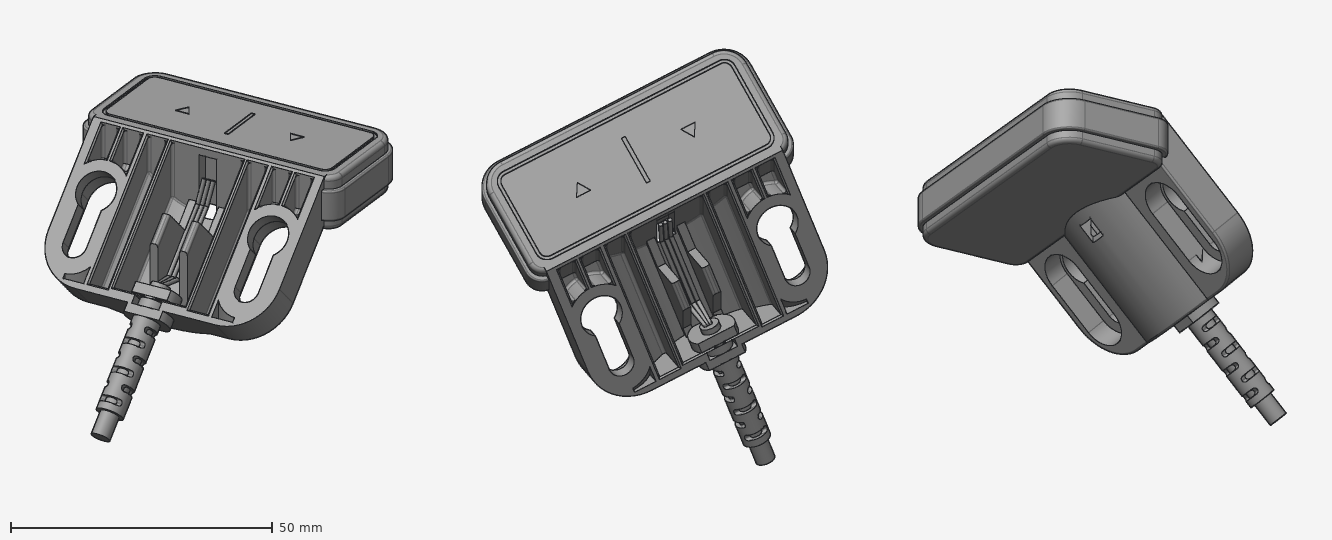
import cadquery as cq
import math


head_front = -0.2
head_half_width = 27.9
head_depth = 23.9
head_height = 11.4
head_front_radius = 3.1
head_back_radius = 4.95
head_edge_radius = 0.95

band_overhang = 0.9
band_top = -2.6
band_bottom = -9.0
band_edge_radius = 0.35

panel_half_width = 25.6
panel_front = 1.8
panel_back = 21.55
panel_corner_radius = 2.3
groove_width = 0.7
groove_depth = 0.35
mark_depth = 0.15
bar_width = 0.8
bar_length = 10.15
mark_center_y = 11.6
arrow_offset = 12.0
arrow_width = 3.1
arrow_height = 2.55

plate_half_width = 25.6
plate_length = 33.9
plate_thickness = 7.6
plate_corner_radius = 10.0
plate_embed = 8.0
bulge_depth = 10.75
bulge_radius = 22.7
back_fillet = 0.4
bulge_skin = 0.9
flat_skin = 2.3
head_wall = 0.5
pocket_fillet = 0.55
pocket_mouth_chamfer = 0.35

center_half_width = 8.3
center_end = 32.1
side_inner = 8.75
side_outer = 13.5
side_end = 32.6
small_inner = 14.2
small_outer = 23.7
small_rib = 0.55
upper_arc_radius = 6.6
lower_arc_radius = 5.95
lower_corner = 18.8

keyhole_x = 19.1
keyhole_top = 14.3
keyhole_bottom = 25.6
entry_radius = 4.2
slot_radius = 2.57
screw_head_radius = 4.9
keyhole_lip = 2.95

window_half_width = 1.95
window_top = -2.1
window_front = -0.95
window_back = 1.95
window_height = 16.0

guide_inner = 2.4
guide_outer = 4.15
guide_start = 15.1
guide_end = 21.4
guide_fillet = 0.55
guide_base_depth = 8.2

axis_depth = 2.8
cable_radius = 1.95
cable_start = 28.3
cable_end = 60.5
sleeve_radius = 2.8
sleeve_start = 30.05
sleeve_end = 55.55
flange_radius = 4.8
flange_bottom = 6.9
inner_flange = (29.5, 31.65)
outer_flange = (plate_length, 35.85)
notch_half_width = 3.0
slit_width = 1.3
slit_core = 1.5
slit_round = 0.55
slit_pitch = 6.11
slit_count = 3
side_slit_start = 38.1
top_slit_start = side_slit_start + slit_pitch / 2

wire_radius = 0.435
wire_xs = (-1.55, -0.55, 0.5)
wire_depth = 7.3
wire_bend_y = -1.7
wire_floor_end = 25.1
wire_tip_y = -0.15
wire_tip_z = -7.0
wire_tip_shift = 0.6
wire_gather = 0.5

FAR = 133.5

LOWER_END = cq.selectors.DirectionMinMaxSelector(cq.Vector(0, -1, -1))
OUTERMOST = cq.selectors.DirectionMinMaxSelector(cq.Vector(0, -1, 1))
INNERMOST = cq.selectors.DirectionMinMaxSelector(cq.Vector(0, 1, -1))
ALONG_T = cq.selectors.ParallelDirSelector(cq.Vector(0, -1, 1))
ALONG_S = cq.selectors.ParallelDirSelector(cq.Vector(0, 1, 1))
ANY_EDGE = cq.selectors.Selector()


def face_plane(depth=0.0):
    """Workplane parallel to the sloped face at depth t; local y is -s, local z is outward."""
    offset = depth / math.sqrt(2)
    plane = cq.Plane(origin=(0, offset, -offset), xDir=(1, 0, 0), normal=(0, -1, 1))
    return cq.Workplane(plane)


def cross_plane(s):
    """Workplane across the slope at distance s; local y points out of the sloped face."""
    offset = s / math.sqrt(2)
    plane = cq.Plane(origin=(0, -offset, -offset), xDir=(1, 0, 0), normal=(0, -1, -1))
    return cq.Workplane(plane)


def slope_point(x, s, t):
    return cq.Vector(x, (t - s) / math.sqrt(2), -(t + s) / math.sqrt(2))


def slope_block(x0, x1, s0, s1, t0, t1, taper=0):
    return (
        face_plane(t0)
        .center((x0 + x1) / 2, -(s0 + s1) / 2)
        .rect(x1 - x0, s1 - s0)
        .extrude(-(t1 - t0), taper=taper)
    )


def slope_cylinder(radius, s0, s1):
    """Cylinder on the cable axis."""
    return cross_plane(s0).center(0, -axis_depth).circle(radius).extrude(s1 - s0)


def both_sides(shape):
    return shape.union(shape.mirror("YZ"))


def rounded_block(growth, z_bottom, z_top, edge_radius):
    """Block with small front and large back corners, grown outward all round."""
    block = (
        cq.Workplane("XY", origin=(0, head_front + head_depth / 2, z_bottom))
        .rect(2 * (head_half_width + growth), head_depth + 2 * growth)
        .extrude(z_top - z_bottom)
    )
    block = block.edges("|Z and <Y").fillet(head_front_radius + growth / 2)
    block = block.edges("|Z and >Y").fillet(head_back_radius + growth)
    return block.faces("<Z or >Z").edges().fillet(edge_radius)


def make_head():
    core = rounded_block(0, -head_height, 0, head_edge_radius)
    band = rounded_block(band_overhang, band_bottom, band_top, band_edge_radius)
    return core.union(band)


def panel_outline(inset):
    depth = panel_back - panel_front
    return (
        cq.Workplane("XY", origin=(0, (panel_front + panel_back) / 2, 0))
        .rect(2 * (panel_half_width - inset), depth - 2 * inset)
        .extrude(-groove_depth)
        .edges("|Z")
        .fillet(panel_corner_radius - inset)
    )


def arrow(x, direction):
    half_width = arrow_width / 2
    half_height = direction * arrow_height / 2
    return (
        cq.Workplane("XY", origin=(x, mark_center_y, 0))
        .polyline([(-half_width, -half_height), (half_width, -half_height), (0, half_height)])
        .close()
        .extrude(-mark_depth)
    )


def top_face_cuts():
    groove = panel_outline(0).cut(panel_outline(groove_width))
    bar = cq.Workplane("XY", origin=(0, mark_center_y, 0)).rect(bar_width, bar_length).extrude(-mark_depth)
    return groove.union(bar).union(arrow(-arrow_offset, 1)).union(arrow(arrow_offset, -1))


def bracket_hull(bulge_inset=0, flat_inset=0):
    """Flat plate with a curved bulge along its back, with the back moved inward by the insets."""
    radius = bulge_radius - bulge_inset
    flat = plate_thickness - flat_inset
    center = bulge_depth - bulge_radius
    half_chord = math.sqrt(radius**2 - (flat - center) ** 2)
    return (
        cross_plane(-plate_embed)
        .moveTo(-plate_half_width, 0)
        .lineTo(plate_half_width, 0)
        .lineTo(plate_half_width, -flat)
        .lineTo(half_chord, -flat)
        .threePointArc((0, bulge_inset - bulge_depth), (-half_chord, -flat))
        .lineTo(-plate_half_width, -flat)
        .close()
        .extrude(plate_length + plate_embed)
    )


def make_bracket():
    total_depth = plate_thickness + bulge_depth
    outline = slope_block(-plate_half_width, plate_half_width, -plate_embed, plate_length, 0, total_depth)
    lower_corners = outline.faces(LOWER_END).edges(ALONG_T)
    outline = lower_corners.fillet(plate_corner_radius)
    bracket = bracket_hull().intersect(outline)

    back_edges = bracket.faces(LOWER_END).edges(cq.selectors.SubtractSelector(ANY_EDGE, OUTERMOST))
    bracket = back_edges.fillet(back_fillet)
    below_top = cq.Workplane("XY").rect(FAR, FAR).extrude(-FAR)
    return bracket.intersect(below_top)


def pocket_space():
    """Room inside the bracket that the pockets may fill."""
    in_front = cq.Workplane("XZ", origin=(0, -head_wall, 0)).rect(FAR, FAR).extrude(FAR)
    return bracket_hull(bulge_skin, flat_skin).intersect(in_front)


def keyhole_disc(s, radius):
    return face_plane().center(keyhole_x, -s).circle(radius).extrude(-FAR)


def corner_pocket_limit():
    """Vertical round wall that bounds the corner pocket; its rim is an arc around the keyhole."""
    flattening = math.sqrt(2)
    center_y = -keyhole_bottom / flattening
    return (
        cq.Workplane("XY", origin=(keyhole_x, center_y, -FAR))
        .ellipse(lower_arc_radius, lower_arc_radius / flattening)
        .extrude(FAR)
    )


def make_pockets():
    space = pocket_space()

    def pocket(x0, x1, s0, s1):
        return slope_block(x0, x1, s0, s1, 0, bulge_depth).intersect(space)

    def chamfered_pocket(x0, x1, s0, s1, end_limit=None):
        """Pocket with a chamfered mouth and rounded inner corners, its end cut back by end_limit."""
        inset = pocket_mouth_chamfer
        mouth = slope_block(x0, x1, s0, s1, 0, inset, 45).intersect(space)
        body = pocket(x0 + inset, x1 - inset, s0, s1 - inset)
        if end_limit:
            mouth = mouth.cut(end_limit)
            body = body.cut(end_limit)
            body = body.edges(ALONG_T).fillet(pocket_fillet)
        back_edges = body.faces(">Y").edges("not |X")
        floor_edges = body.edges(cq.selectors.SubtractSelector(ALONG_S, OUTERMOST))
        return back_edges.add(floor_edges).fillet(pocket_fillet).union(mouth)

    center = chamfered_pocket(-center_half_width, center_half_width, 0, center_end)
    right = chamfered_pocket(side_inner, side_outer, 0, side_end)

    above_keyhole = keyhole_disc(keyhole_top, upper_arc_radius)
    for x0, x1 in ((small_inner, keyhole_x - small_rib / 2), (keyhole_x + small_rib / 2, small_outer)):
        right = right.union(chamfered_pocket(x0, x1, 0, keyhole_top, above_keyhole))

    corner = pocket(small_inner, lower_corner, keyhole_bottom, side_end).cut(corner_pocket_limit())
    return center.union(both_sides(right.union(corner)))


def keyhole_slot(radius, depth):
    length = keyhole_bottom - keyhole_top
    middle = (keyhole_top + keyhole_bottom) / 2
    return face_plane(depth).center(keyhole_x, -middle).slot2D(length + 2 * radius, 2 * radius, 90).extrude(-FAR)


def make_keyholes():
    front_opening = keyhole_slot(slot_radius, 0).union(keyhole_disc(keyhole_top, entry_radius))
    screw_head_space = keyhole_slot(screw_head_radius, keyhole_lip)
    return both_sides(front_opening.union(screw_head_space))


def make_window():
    return (
        cq.Workplane("XY", origin=(0, (window_front + window_back) / 2, window_top))
        .rect(2 * window_half_width, window_back - window_front)
        .extrude(-window_height)
    )


def make_cable_notch():
    """U-shaped notch through the end wall, open at the sloped face."""
    wall = plate_length - center_end
    lower_round = cross_plane(center_end).center(0, -axis_depth).circle(notch_half_width).extrude(wall)
    opening = slope_block(-notch_half_width, notch_half_width, center_end, plate_length, 0, axis_depth)
    return lower_round.union(opening)


def make_guides():
    base = slope_block(
        guide_inner, guide_outer, -plate_embed, center_end, guide_base_depth, plate_thickness + bulge_depth
    )
    post = slope_block(guide_inner, guide_outer, guide_start, FAR, 0, bulge_depth)
    post = post.faces(OUTERMOST).edges(ALONG_S).fillet(guide_fillet)
    post_end_y = slope_point(0, guide_end, 0).y
    post = post.intersect(cq.Workplane("XZ", origin=(0, post_end_y, 0)).rect(FAR, FAR).extrude(-FAR))
    inside = bracket_hull(bulge_skin / 2, flat_skin / 2)
    clear_of_head = cq.Workplane("XZ").rect(FAR, FAR).extrude(FAR)
    return both_sides(base.union(post).intersect(inside).intersect(clear_of_head))


def flange(s_range):
    start, end = s_range
    trim = slope_block(-flange_radius, flange_radius, start, end, 0, flange_bottom)
    return slope_cylinder(flange_radius, start, end).intersect(trim)


def slit(s):
    """Straight slit across the outer side of the sleeve, rounded at the bottom."""
    depth = sleeve_radius - slit_core
    start = s - slit_width / 2
    top = axis_depth - sleeve_radius
    block = slope_block(-sleeve_radius, sleeve_radius, start, start + slit_width, top, top + depth)
    return block.faces(INNERMOST).edges("|X").fillet(slit_round)


def make_slits():
    """Pairs of opposite slits, alternating between the sides and the top and bottom."""
    axis_start = slope_point(0, 0, axis_depth).toTuple()
    axis_end = slope_point(0, 0.7, axis_depth).toTuple()
    slits = cq.Workplane("XY")
    for index in range(slit_count):
        shift = index * slit_pitch
        for start, angles in ((side_slit_start, (90, 270)), (top_slit_start, (0, 180))):
            for angle in angles:
                slits.add(slit(start + shift).rotate(axis_start, axis_end, angle))
    return slits.combine()


def make_cable():
    sleeve = slope_cylinder(sleeve_radius, sleeve_start, sleeve_end).cut(make_slits())
    cable = slope_cylinder(cable_radius, cable_start, cable_end)
    return sleeve.union(cable).union(flange(inner_flange)).union(flange(outer_flange))


def rod(start, end):
    length = (end - start).Length
    cylinder = cq.Solid.makeCylinder(wire_radius, length, start, end - start)
    ball = cq.Workplane("XY", origin=start.toTuple()).sphere(wire_radius)
    return ball.union(cq.Workplane(cylinder))


def make_wire(x):
    """Wire from the cable end, above the pocket floor and up into the window."""
    bend_z = wire_bend_y - wire_depth * math.sqrt(2)
    path = [
        slope_point(x * wire_gather, cable_start, axis_depth),
        slope_point(x, wire_floor_end, wire_depth),
        cq.Vector(x, wire_bend_y, bend_z),
        cq.Vector(x + wire_tip_shift, wire_tip_y, wire_tip_z),
    ]
    wire = rod(path[0], path[1])
    for start, end in zip(path[1:], path[2:]):
        wire = wire.union(rod(start, end))
    return wire


result = make_head().union(make_bracket())
result = result.cut(top_face_cuts())
result = result.cut(make_pockets())
result = result.cut(make_keyholes())
result = result.union(make_guides())
result = result.cut(make_window())
result = result.cut(make_cable_notch())
result = result.union(make_cable())
for wire_x in wire_xs:
    result = result.union(make_wire(wire_x))